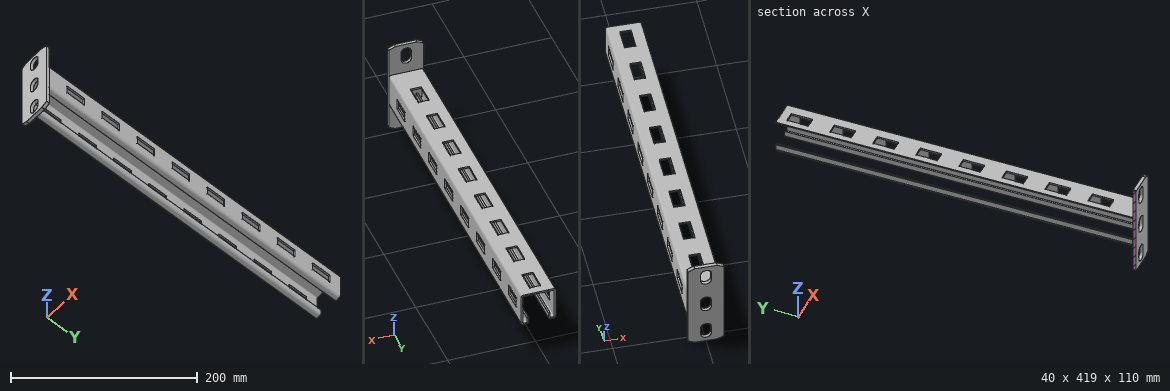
import cadquery as cq
import math

total_length = 419.0
width = 40.0

plate_height = 110.0
plate_thickness = 4.0
plate_corner_width = 7.5
plate_corner_radius = 37.7
plate_slot_width = 11.7
plate_slot_length = 20.0
plate_slot_pitch = 40.0
plate_slot_count = 3

channel_height = 40.0
channel_drop = 2.0
sheet_thickness = 2.0
bend_radius = 3.0
lip_width = 9.0
lip_height = 8.5
channel_length = total_length - plate_thickness

slot_count = 8
slot_span = 350.0
slot_pitch = slot_span / (slot_count - 1)
slot_length = 24.7
slot_width = 12.0
top_slot_end_gap = 10.0
side_slot_end_gap = 15.0

channel_center_z = -channel_drop


def arc_rise(x):
    return math.sqrt(plate_corner_radius**2 - x**2)


def make_end_plate():
    half_width = width / 2
    half_height = plate_height / 2
    flat_x = half_width - plate_corner_width
    middle_x = half_width - plate_corner_width / 2
    arc_center_z = half_height - arc_rise(flat_x)
    middle_z = arc_center_z + arc_rise(middle_x)
    side_z = arc_center_z + arc_rise(half_width)
    plate = (
        cq.Workplane("XZ")
        .moveTo(-flat_x, half_height)
        .lineTo(flat_x, half_height)
        .threePointArc((middle_x, middle_z), (half_width, side_z))
        .lineTo(half_width, -side_z)
        .threePointArc((middle_x, -middle_z), (flat_x, -half_height))
        .lineTo(-flat_x, -half_height)
        .threePointArc((-middle_x, -middle_z), (-half_width, -side_z))
        .lineTo(-half_width, side_z)
        .threePointArc((-middle_x, middle_z), (-flat_x, half_height))
        .close()
        .extrude(-plate_thickness)
    )
    slots = (
        cq.Workplane("XZ")
        .rarray(4, plate_slot_pitch, 1, plate_slot_count)
        .slot2D(plate_slot_length, plate_slot_width, 90)
        .extrude(-plate_thickness)
    )
    return plate.cut(slots)


def round_bends(body, corners, radius):
    middle_y = plate_thickness + channel_length / 2
    for x, z in corners:
        corner_edge = cq.selectors.NearestToPointSelector((x, middle_y, z))
        body = body.edges(corner_edge).fillet(radius)
    return body


def make_channel_profile():
    side_x = width / 2
    top_z = channel_center_z + channel_height / 2
    bottom_z = channel_center_z - channel_height / 2
    lip_x = side_x - lip_width
    lip_top_z = bottom_z + lip_height
    outer_bends = [(side_x, top_z), (side_x, bottom_z), (lip_x, bottom_z)]
    inner_bends = [
        (lip_x + sheet_thickness, bottom_z + sheet_thickness),
        (side_x - sheet_thickness, bottom_z + sheet_thickness),
        (side_x - sheet_thickness, top_z - sheet_thickness),
    ]
    half_outline = [
        (0, top_z),
        *outer_bends,
        (lip_x, lip_top_z),
        (lip_x + sheet_thickness, lip_top_z),
        *inner_bends,
        (0, top_z - sheet_thickness),
    ]
    half = (
        cq.Workplane("XZ", origin=(0, plate_thickness, 0))
        .polyline(half_outline)
        .close()
        .extrude(-channel_length)
    )
    half = round_bends(half, outer_bends, bend_radius)
    half = round_bends(half, inner_bends, bend_radius - sheet_thickness)
    return half.union(half.mirror("YZ"))


def slot_centers(end_gap):
    first = total_length - end_gap - slot_length / 2
    return [first - i * slot_pitch for i in range(slot_count)]


def make_channel():
    side_cut_width = 2 * width
    channel = make_channel_profile()
    for y in slot_centers(top_slot_end_gap):
        top_cutter = cq.Workplane("XY").box(
            slot_width, slot_length, channel_height, centered=(True, True, False)
        )
        channel = channel.cut(top_cutter.translate((0, y, channel_center_z)))
    for y in slot_centers(side_slot_end_gap):
        side_cutter = cq.Workplane("XY").box(side_cut_width, slot_length, slot_width)
        channel = channel.cut(side_cutter.translate((0, y, channel_center_z)))
    return channel


end_plate = make_end_plate()
channel = make_channel()

result = cq.Compound.makeCompound([end_plate.val(), channel.val()])